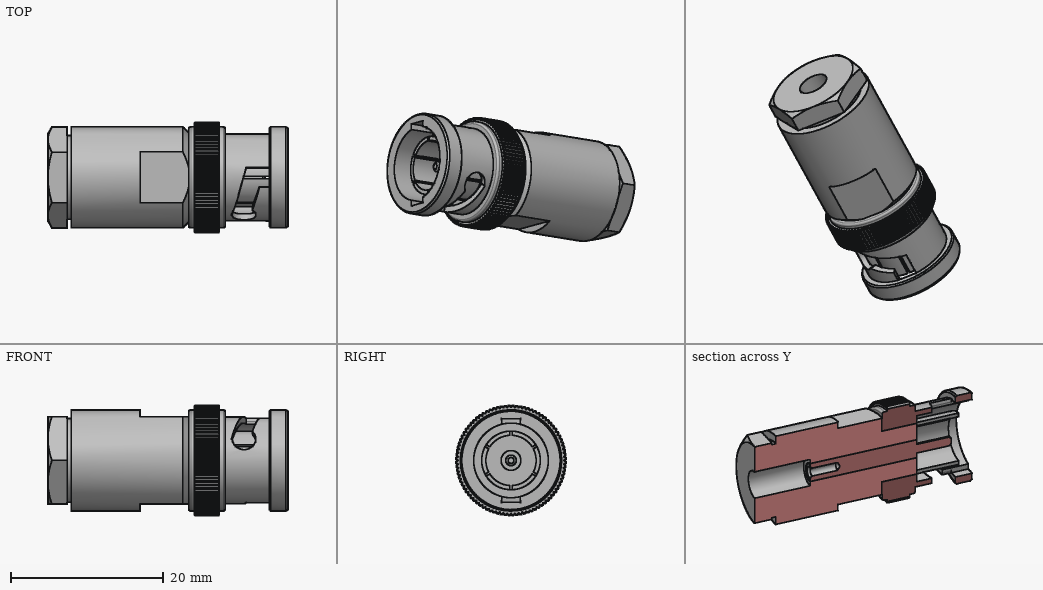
import cadquery as cq
import math

length = 31.5

across_flats = 11.5
nut_corner_diameter = across_flats / math.cos(math.radians(30))
nut_length = 2.5
nut_chamfer_angle = 30.0
neck_radius = 5.52

barrel_start = 3.05
barrel_end = 18.45
barrel_radius = 6.65
barrel_chamfer = 0.75
flats_start = 12.1

sleeve_radius = 3.85
sleeve_bore_radius = 3.3
sleeve_end = 29.6
sleeve_floor = 23.5
slit_width = 0.3
slit_count = 6
slit_overshoot = 1.0

cable_hole_radius = 1.94
cable_hole_depth = 8.0
contact_radius = 1.3
contact_chamfer = 0.1
solder_hole_radius = 0.55
solder_hole_depth = 4.0
solder_cup_radius = 0.85
drill_point_angle = 118.0
pin_radius = 0.69
pin_end = 28.5
pin_tip_chamfer = 0.3

collar_end = 23.28
collar_fillet = 0.3
collar_radius = 6.65
tube_radius = 5.72
tube_bore_radius = 4.9
rim_start = 29.05
rim_radius = 6.65
rim_rear_chamfer = 0.2
rim_front_chamfer = 0.28
rim_front_chamfer_depth = 0.2

knurl_start = 19.2
knurl_end = 22.5
knurl_tip_radius = 7.237
knurl_root_radius = 6.95
knurl_tooth_count = 88
knurl_tip_share = 0.4
knurl_chamfer = 0.12

channel_width = 2.44
channel_half_angle = 13.3
channel_roof = 5.5
seat_angle = 60.0
seat_x = 25.73
seat_radius = 1.55
ramp_width_along_axis = 2.45
ramp_rise_per_degree = 0.0263
ramp_start_on_top = 25.65
slot_cutter_radius = 6.3
slot_cutter_inner_radius = 4.3


def cylinder(x_start, x_end, radius):
    return cq.Workplane("YZ", origin=(x_start, 0, 0)).circle(radius).extrude(x_end - x_start)


def revolve_about_x(points):
    """Solid of revolution from (x, radius) points."""
    return cq.Workplane("XY").polyline(points).close().revolve(360, (0, 0, 0), (1, 0, 0))


def clamp_nut():
    hexagon = cq.Workplane("YZ").polygon(6, nut_corner_diameter).extrude(nut_length)
    corner_radius = nut_corner_diameter / 2
    face_radius = across_flats / 2
    chamfer_length = (corner_radius - face_radius) * math.tan(math.radians(nut_chamfer_angle))
    envelope = revolve_about_x([
        (0, 0),
        (0, face_radius),
        (chamfer_length, corner_radius),
        (nut_length, corner_radius),
        (nut_length, 0),
    ])
    return hexagon.intersect(envelope)


def flatted_barrel():
    barrel = cylinder(barrel_start, barrel_end, barrel_radius).faces(">X").chamfer(barrel_chamfer)
    flats_length = barrel_end - flats_start
    for side in (1, -1):
        cutter = (
            cq.Workplane("XY")
            .box(flats_length, 2 * barrel_radius, barrel_radius, centered=(False, True, True))
            .translate((flats_start, 0, side * (across_flats + barrel_radius) / 2))
        )
        barrel = barrel.cut(cutter)
    return barrel


def slotted_sleeve():
    sleeve = cylinder(barrel_end, sleeve_end, sleeve_radius)
    sleeve = sleeve.cut(cylinder(sleeve_floor, sleeve_end, sleeve_bore_radius))
    slit_length = sleeve_end - sleeve_floor
    slit = (
        cq.Workplane("XY")
        .box(slit_length, slit_width, sleeve_radius + slit_overshoot, centered=(False, True, False))
        .translate((sleeve_floor, 0, 0))
    )
    for index in range(slit_count):
        sleeve = sleeve.cut(slit.rotate((0, 0, 0), (1, 0, 0), index * 360 / slit_count))
    return sleeve


def contact_blank():
    shank = cylinder(cable_hole_depth, sleeve_floor, contact_radius).faces("<X").chamfer(contact_chamfer)
    pin = cylinder(sleeve_floor, pin_end, pin_radius).faces(">X").chamfer(pin_tip_chamfer)
    return shank.union(pin)


def make_housing():
    housing = clamp_nut().union(cylinder(nut_length, barrel_start, neck_radius))
    housing = housing.union(flatted_barrel()).union(slotted_sleeve())
    housing = housing.cut(cylinder(0, cable_hole_depth, cable_hole_radius))
    return housing.cut(cylinder(cable_hole_depth, sleeve_floor, contact_radius))


def make_contact():
    cup_depth = solder_cup_radius - solder_hole_radius
    point_depth = solder_hole_radius / math.tan(math.radians(drill_point_angle / 2))
    hole_end = cable_hole_depth + solder_hole_depth
    solder_hole = revolve_about_x([
        (cable_hole_depth, 0),
        (cable_hole_depth, solder_cup_radius),
        (cable_hole_depth + cup_depth, solder_hole_radius),
        (hole_end, solder_hole_radius),
        (hole_end + point_depth, 0),
    ])
    return contact_blank().cut(solder_hole)


def knurl_ring():
    """Ring of teeth with one valley on +Z."""
    pitch = 2 * math.pi / knurl_tooth_count
    half_tip = knurl_tip_share * pitch / 2
    points = []
    for index in range(knurl_tooth_count):
        root_angle = math.pi / 2 + index * pitch
        tip_angle = root_angle + pitch / 2
        for radius, angle in (
            (knurl_root_radius, root_angle),
            (knurl_tip_radius, tip_angle - half_tip),
            (knurl_tip_radius, tip_angle + half_tip),
        ):
            points.append((radius * math.cos(angle), radius * math.sin(angle)))
    width = knurl_end - knurl_start
    teeth = cq.Workplane("YZ", origin=(knurl_start, 0, 0)).polyline(points).close().extrude(width)
    envelope = cylinder(knurl_start, knurl_end, knurl_tip_radius).edges().chamfer(knurl_chamfer)
    return teeth.intersect(envelope)


def front_rim():
    return revolve_about_x([
        (rim_start, 0),
        (rim_start, rim_radius - rim_rear_chamfer),
        (rim_start + rim_rear_chamfer, rim_radius),
        (length - rim_front_chamfer, rim_radius),
        (length, rim_radius - rim_front_chamfer_depth),
        (length, 0),
    ])


def sector(x_start, x_end, first_angle, last_angle, twist=0):
    """Curved bar around X between two angles measured from +Z towards +Y, twisted along its length."""

    def point(radius, angle):
        return (radius * math.sin(math.radians(angle)), radius * math.cos(math.radians(angle)))

    middle_angle = (first_angle + last_angle) / 2
    outline = (
        cq.Workplane("YZ", origin=(x_start, 0, 0))
        .moveTo(*point(slot_cutter_inner_radius, first_angle))
        .lineTo(*point(slot_cutter_radius, first_angle))
        .threePointArc(point(slot_cutter_radius, middle_angle), point(slot_cutter_radius, last_angle))
        .lineTo(*point(slot_cutter_inner_radius, last_angle))
        .threePointArc(
            point(slot_cutter_inner_radius, middle_angle),
            point(slot_cutter_inner_radius, first_angle),
        )
        .close()
    )
    if twist:
        return outline.twistExtrude(x_end - x_start, twist)
    return outline.extrude(x_end - x_start)


def bayonet_slot_cutters():
    ramp_x_start = ramp_start_on_top - seat_angle * ramp_rise_per_degree
    ramp_x_end = ramp_start_on_top + ramp_width_along_axis + channel_half_angle * ramp_rise_per_degree
    last_angle = -seat_angle
    first_angle = last_angle - ramp_width_along_axis / ramp_rise_per_degree
    twist = (ramp_x_end - ramp_x_start) / ramp_rise_per_degree
    ramp = sector(ramp_x_start, ramp_x_end, first_angle, last_angle, -twist)
    ramp = ramp.intersect(sector(ramp_x_start, ramp_x_end, -seat_angle, channel_half_angle))

    channel_start = ramp_start_on_top + channel_half_angle * ramp_rise_per_degree
    channel = (
        cq.Workplane("XY")
        .box(length - channel_start, channel_width, channel_roof, centered=(False, True, False))
        .translate((channel_start, 0, 0))
    )
    open_channel = sector(channel_start, rim_start, -channel_half_angle, channel_half_angle)
    seat = (
        cq.Workplane("XY")
        .center(seat_x, 0)
        .circle(seat_radius)
        .extrude(slot_cutter_radius)
        .rotate((0, 0, 0), (1, 0, 0), seat_angle)
    )
    return [ramp, channel, open_channel, seat]


def make_coupling():
    collar = cylinder(barrel_end, collar_end, collar_radius).edges().fillet(collar_fillet)
    coupling = collar.union(knurl_ring())
    coupling = coupling.union(cylinder(collar_end, rim_start, tube_radius)).union(front_rim())
    coupling = coupling.cut(cylinder(barrel_end, length, sleeve_radius))
    coupling = coupling.cut(cylinder(sleeve_floor, length, tube_bore_radius))
    for cutter in bayonet_slot_cutters():
        for turn in (0, 180):
            coupling = coupling.cut(cutter.rotate((0, 0, 0), (1, 0, 0), turn))
    return coupling


housing = make_housing()
contact = make_contact()
coupling = make_coupling()

result = cq.Compound.makeCompound([
    *housing.solids().vals(),
    *contact.solids().vals(),
    *coupling.solids().vals(),
])